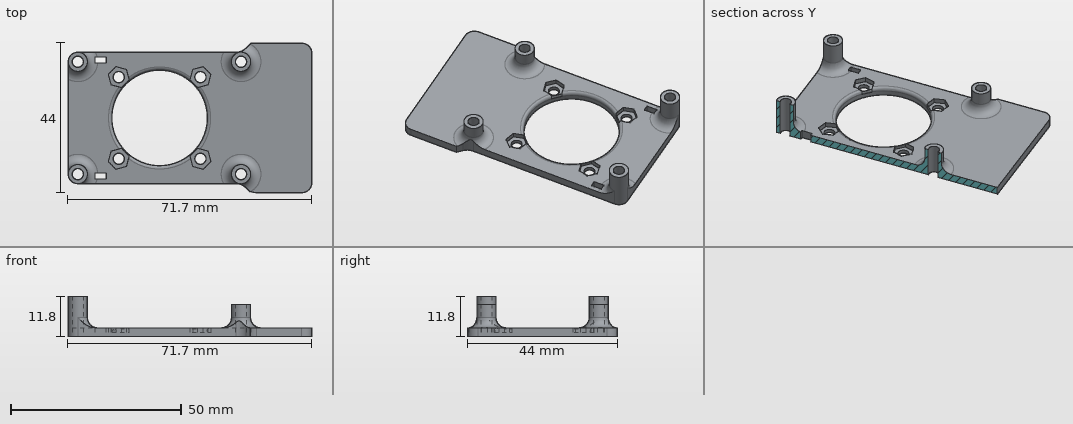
import cadquery as cq
import math

length = 71.7
body_width = 38.7
head_width = 44.0
plate_thickness = 2.6
shoulder_middle_x = 52.4
shoulder_radius = 4.0
head_corner_radius = 3.0

post_diameter = 5.7
post_radius = post_diameter / 2
screw_hole_diameter = 3.2
flare_radius = 3.0
front_post_top = 11.8
rear_post_top = 9.5
post_y = body_width / 2 - post_radius
front_post_x = post_radius
rear_post_x = 50.8

opening_x = 26.9
opening_diameter = 28.0
opening_rim_diameter = 30.05
nut_pitch = 24.0
nut_corner_diameter = 6.4
nut_floor_z = 1.15
hexagon_sides = 6

slot_length = 3.2
slot_width = 1.7
slot_x = 9.55
slot_y = 17.1


def outline(height):
    """Plate outline extruded upward from the underside."""
    body_y = body_width / 2
    head_y = head_width / 2
    half_step = (head_y - body_y) / 2
    step_start = shoulder_middle_x - half_step
    step_end = shoulder_middle_x + half_step
    upper_side = [(0, body_y), (step_start, body_y), (step_end, head_y), (length, head_y)]
    lower_side = [(x, -y) for x, y in reversed(upper_side)]
    blank = cq.Workplane("XY").polyline(upper_side + lower_side).close().extrude(height)
    blank = blank.edges("|Z and <X").fillet(post_radius)
    blank = blank.edges("|Z and >X").fillet(head_corner_radius)
    shoulder_zone = cq.selectors.BoxSelector(
        (body_width / 2, -head_y, 0), (length - head_corner_radius * 2, head_y, height)
    )
    return blank.edges("|Z").edges(shoulder_zone).fillet(shoulder_radius)


def flared_post(x, y, top):
    """Round post whose foot sweeps out in a concave quarter circle."""
    flare_top = plate_thickness + flare_radius
    foot_radius = post_radius + flare_radius
    inset = flare_radius * (1 - math.sqrt(0.5))
    profile = (
        cq.Workplane("XZ")
        .lineTo(foot_radius, 0)
        .lineTo(foot_radius, plate_thickness)
        .threePointArc(
            (post_radius + inset, plate_thickness + inset), (post_radius, flare_top)
        )
        .lineTo(post_radius, top)
        .lineTo(0, top)
        .close()
    )
    return profile.revolve(360, (0, 0), (0, 1)).translate((x, y, 0))


plate = outline(plate_thickness)
post_places = []
for post_x, post_top in ((front_post_x, front_post_top), (rear_post_x, rear_post_top)):
    post_places += [(post_x, post_y), (post_x, -post_y)]
    trimmed_post = flared_post(post_x, post_y, post_top).intersect(outline(post_top))
    plate = plate.union(trimmed_post).union(trimmed_post.mirror("XZ"))

opening_radius = opening_diameter / 2
rim_radius = (opening_rim_diameter - opening_diameter) / 2
rim_inset = rim_radius * (1 - math.sqrt(0.5))
opening = (
    cq.Workplane("XZ")
    .lineTo(opening_radius, 0)
    .lineTo(opening_radius, plate_thickness - rim_radius)
    .threePointArc(
        (opening_radius + rim_inset, plate_thickness - rim_inset),
        (opening_radius + rim_radius, plate_thickness),
    )
    .lineTo(0, plate_thickness)
    .close()
    .revolve(360, (0, 0), (0, 1))
    .translate((opening_x, 0, 0))
)
plate = plate.cut(opening)

nut_places = [
    (opening_x + x_side * nut_pitch / 2, y_side * nut_pitch / 2)
    for x_side in (-1, 1)
    for y_side in (-1, 1)
]
for nut_x, nut_y in nut_places:
    opening_direction = math.degrees(math.atan2(-nut_y, opening_x - nut_x))
    first_corner = opening_direction + 180 / hexagon_sides
    pocket = (
        cq.Workplane("XY")
        .polygon(hexagon_sides, nut_corner_diameter)
        .extrude(plate_thickness - nut_floor_z)
        .rotate((0, 0, 0), (0, 0, 1), first_corner)
        .translate((nut_x, nut_y, nut_floor_z))
    )
    plate = plate.cut(pocket)

screw_holes = (
    cq.Workplane("XY")
    .pushPoints(post_places + nut_places)
    .circle(screw_hole_diameter / 2)
    .extrude(front_post_top)
)
plate = plate.cut(screw_holes)

slots = (
    cq.Workplane("XY")
    .pushPoints([(slot_x, -slot_y), (slot_x, slot_y)])
    .rect(slot_length, slot_width)
    .extrude(front_post_top)
)
result = plate.cut(slots)